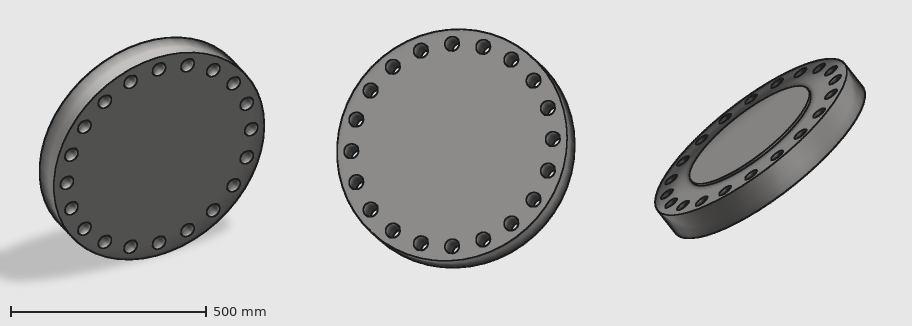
import cadquery as cq

flange_diameter = 609.5
total_thickness = 86.0
face_diameter = 381.0
face_height = 7.0
bolt_circle_diameter = 533.5
bolt_hole_diameter = 38.0
bolt_count = 20

flange_thickness = total_thickness - face_height


def disc(diameter, thickness, start_x):
    """Disc along +X, starting at start_x."""
    return cq.Workplane("YZ", origin=(start_x, 0, 0)).circle(diameter / 2).extrude(thickness)


flange = disc(flange_diameter, flange_thickness, 0)
raised_face = disc(face_diameter, face_height, -face_height)

bolt_holes = (
    cq.Workplane("YZ")
    .polarArray(bolt_circle_diameter / 2, 0, 360, bolt_count)
    .circle(bolt_hole_diameter / 2)
    .extrude(flange_thickness)
)

result = flange.union(raised_face).cut(bolt_holes)